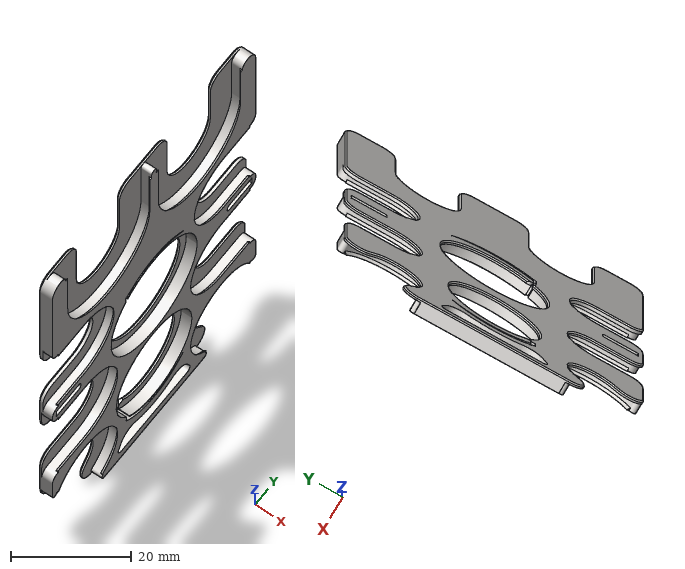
import cadquery as cq
import math

HEIGHT = 85.6
WIDTH = 57.2
THICKNESS = 2.8
HALF_WIDTH = WIDTH / 2
CORNER_R = 2.8
FACE_CHAMFER = 0.25

SLOT_R = 6.1
SLOT_GROOVE_R = 12.1
SLOT_Y = 12.75
SLOT_Z = HEIGHT - SLOT_GROOVE_R

UPPER_R = 5.1
UPPER_GROOVE_R = 8.9
UPPER_Y = HALF_WIDTH - UPPER_GROOVE_R
UPPER_Z = 52.6

LOWER_R = 5.05
LOWER_GROOVE_R = 9.4
LOWER_Y = HALF_WIDTH - LOWER_GROOVE_R
LOWER_Z = 30.1
CORNER_NOTCH_Z = LOWER_GROOVE_R

UPPER_FLANGE = 0.85
FLANGE = 0.6
LIP = 0.5
SIDE_MOUTH_R = 1.6
OUTER_RIB_R = 1.5
MIDDLE_RIB_R = 0.6
RIB_TIP_R = 0.7

ARM_TIP_Z = 14.1
FOOT_CORNER_Y = 14.5

BIG_HOLE_R = 10.3
BIG_HOLE_Z = 42.5
BIG_SEAT_R = SLOT_GROOVE_R
SMALL_HOLE_R = 8.7
SMALL_HOLE_Z = 18.8
SMALL_SEAT_R = 10.6
BIG_SLIT_R = 13.0
SMALL_SLIT_R = 11.55

BIG_TONGUE_ROOT = 50.6
BIG_TONGUE_RISE = 12.4
BIG_TONGUE_TIP = (-7.45, 9.8, 8.1)
BIG_TONGUE_TIP_R = 0.8
BIG_SLIT_END = (-8.0, 8.65)
BIG_SLIT_NECK = (-7.45, 7.0)

SMALL_TONGUE_ROOT = 45.5
SMALL_TONGUE_RISE = 10.95
SMALL_TONGUE_TIP = (-6.9, 8.3, 6.7)
SMALL_TONGUE_TIP_R = 0.25
SMALL_SLIT_END = (-7.8, 7.1)
SMALL_SLIT_NECK = (-6.9, 5.3)

WIRE_SLOT_HEIGHT = 1.6
WIRE_SLOT_INNER_Y = 20.6
WIRE_SLOT_OUTER_Y = 27.5
WIRE_SLOT_Z = 41.7
WIRE_SLOT_END_R = 0.6

WINDOW_Z = 2.0
WINDOW_HALF_WIDTH = 10.7
WINDOW_SIDE_SLOPE = 0.51
WINDOW_ARCH_R = 13.6
WINDOW_TOP_R = 3.1
WINDOW_BOTTOM_R = 0.9


def polar(center, radius, degrees):
    angle = math.radians(degrees)
    return (center[0] + radius * math.cos(angle), center[1] + radius * math.sin(angle))


def distance_and_angle(start, end):
    dy = end[0] - start[0]
    dz = end[1] - start[1]
    return math.hypot(dy, dz), math.degrees(math.atan2(dz, dy))


def add_arc(path, center, radius, start, end):
    """Continue the path with a line to the start of an arc, then the arc itself."""
    path = path.lineTo(*polar(center, radius, start))
    return path.threePointArc(polar(center, radius, (start + end) / 2), polar(center, radius, end))


def sketch_at(x, y=0, z=0):
    return cq.Workplane("YZ", origin=(x, y, z))


def disc(center, radius, start, end, taper=0):
    return sketch_at(start, *center).circle(radius).extrude(end - start, taper=taper)


def both_sides(solid):
    return solid.union(solid.mirror("XZ"))


def outline():
    r = CORNER_R
    side = HALF_WIDTH - r
    notch = (LOWER_Y, CORNER_NOTCH_Z)
    arm_tip = (side, ARM_TIP_Z)
    foot_corner = (FOOT_CORNER_Y, r)

    reach = LOWER_R + r
    tip_distance, tip_angle = distance_and_angle(notch, arm_tip)
    tip_tangent = tip_angle + math.degrees(math.acos(reach / tip_distance))
    foot_distance, foot_angle = distance_and_angle(notch, foot_corner)
    foot_tangent = 360 + foot_angle - math.degrees(math.acos(reach / foot_distance))

    path = sketch_at(0).moveTo(0, HEIGHT)
    path = add_arc(path, (SLOT_Y - SLOT_R - r, HEIGHT - r), r, 90, 0)
    path = add_arc(path, (SLOT_Y, SLOT_Z), SLOT_R, 180, 360)
    path = add_arc(path, (SLOT_Y + SLOT_R + r, HEIGHT - r), r, 180, 90)
    path = add_arc(path, (side, HEIGHT - r), r, 90, 0)
    for y, z, notch_r in ((UPPER_Y, UPPER_Z, UPPER_R), (LOWER_Y, LOWER_Z, LOWER_R)):
        path = add_arc(path, (side, z + notch_r + r), r, 0, -90)
        path = add_arc(path, (y, z), notch_r, 90, 270)
        path = add_arc(path, (side, z - notch_r - r), r, 90, 0)
    path = add_arc(path, arm_tip, r, 0, tip_tangent - 180)
    path = add_arc(path, notch, LOWER_R, tip_tangent, foot_tangent)
    path = add_arc(path, foot_corner, r, foot_tangent - 180, -90)
    return both_sides(path.lineTo(0, 0).close().extrude(THICKNESS))


def channel(center, radius, direction, length, start, taper=0):
    """Round-bottomed channel from start to the back face, open toward the given direction."""
    path = sketch_at(start, *center).transformed(rotate=(0, 0, direction)).moveTo(length, -radius)
    path = path.lineTo(0, -radius).threePointArc((-radius, 0), (0, radius)).lineTo(length, radius)
    return path.close().extrude(THICKNESS - start, taper=taper)


def groove(center, radius, direction, flange):
    """Channel behind a flange, narrowed by a sloping lip at the back face."""
    lip_start = THICKNESS - LIP
    lip = channel(center, radius, direction, radius - SIDE_MOUTH_R, lip_start)
    lip = lip.cut(channel(center, radius, direction, 2 * radius, lip_start, taper=45))
    return channel(center, radius, direction, 2 * radius, flange).cut(lip)


def rib_round(center, radius, start, end, flange):
    """Cutter that rounds a rib corner: the sector from start to end outside a circle."""
    reach = 4 * radius
    sector = sketch_at(flange).moveTo(*center)
    sector = add_arc(sector, center, reach, start, end).close().extrude(THICKNESS - flange)
    return sector.cut(disc(center, radius, flange, THICKNESS))


def slot_groove():
    cutter = groove((SLOT_Y, SLOT_Z), SLOT_GROOVE_R, 90, FLANGE)
    middle_rib = (SLOT_Y - SLOT_GROOVE_R - MIDDLE_RIB_R, HEIGHT - MIDDLE_RIB_R)
    cutter = cutter.union(rib_round(middle_rib, MIDDLE_RIB_R, 0, 90, FLANGE))

    corner = (HALF_WIDTH - CORNER_R, HEIGHT - CORNER_R)
    rib_y = SLOT_Y + SLOT_GROOVE_R + OUTER_RIB_R
    contact = math.degrees(math.acos((rib_y - corner[0]) / (CORNER_R - OUTER_RIB_R)))
    rib = polar(corner, CORNER_R - OUTER_RIB_R, contact)
    return cutter.union(rib_round(rib, OUTER_RIB_R, contact, 180, FLANGE))


def side_groove(center, radius, flange):
    cutter = groove(center, radius, 0, flange)
    mouth_y = HALF_WIDTH - SIDE_MOUTH_R
    offset = radius + SIDE_MOUTH_R
    cutter = cutter.union(rib_round((mouth_y, center[1] + offset), SIDE_MOUTH_R, 270, 360, flange))
    return cutter.union(rib_round((mouth_y, center[1] - offset), SIDE_MOUTH_R, 0, 90, flange))


def corner_groove():
    """Round groove behind the corner notch, with rounded rib tips on the arm and the foot."""
    center = (LOWER_Y, CORNER_NOTCH_Z)
    radius = LOWER_GROOVE_R
    lip_start = THICKNESS - LIP
    cutter = disc(center, radius, FLANGE, lip_start)
    cutter = cutter.union(disc(center, radius, lip_start, THICKNESS, taper=45))
    reach = radius + RIB_TIP_R

    arm_angle = math.degrees(math.acos((HALF_WIDTH - RIB_TIP_R - LOWER_Y) / reach))
    arm_tip = polar(center, reach, arm_angle)
    cutter = cutter.union(rib_round(arm_tip, RIB_TIP_R, arm_angle + 180, 360, FLANGE))

    foot_corner = (FOOT_CORNER_Y, CORNER_R)
    inset = CORNER_R - RIB_TIP_R
    span, to_groove = distance_and_angle(foot_corner, center)
    bend = math.degrees(math.acos((span**2 + inset**2 - reach**2) / (2 * span * inset)))
    contact = to_groove - bend
    foot_tip = polar(foot_corner, inset, contact)
    groove_angle = distance_and_angle(foot_tip, center)[1]
    return cutter.union(rib_round(foot_tip, RIB_TIP_R, contact, groove_angle, FLANGE))


def tongue_slit(slit_r, root, tongue_rise, tip, tip_r, slit_end, neck):
    """Tapering slit above a hole centred on the origin; it frees a tongue along the hole rim."""
    root_point = polar((0, 0), slit_r, root)
    tip_y, tip_top, tip_bottom = tip
    end_y, end_bottom = slit_end
    neck_y, neck_bottom = neck

    pocket = sketch_at(0).moveTo(*root_point)
    pocket = pocket.threePointArc((0, slit_r), (end_y, math.sqrt(slit_r**2 - end_y**2)))
    pocket = pocket.lineTo(end_y, end_bottom).lineTo(neck_y, end_bottom).lineTo(neck_y, neck_bottom)
    pocket = pocket.lineTo(0, 0).close().extrude(THICKNESS)

    tongue = sketch_at(0).moveTo(*root_point).threePointArc((0, tongue_rise), (tip_y, tip_top))
    tongue = tongue.lineTo(tip_y, tip_bottom).lineTo(0, tip_bottom).lineTo(0, 0).close()
    tongue = tongue.extrude(THICKNESS).edges("|X and <Y").fillet(tip_r)
    return pocket.cut(tongue)


def wire_slot():
    length = WIRE_SLOT_OUTER_Y - WIRE_SLOT_INNER_Y
    slot = sketch_at(0, WIRE_SLOT_INNER_Y + length / 2, WIRE_SLOT_Z).rect(length, WIRE_SLOT_HEIGHT)
    return slot.extrude(THICKNESS).edges("|X and <Y").fillet(WIRE_SLOT_END_R)


def window():
    top_half_width = WINDOW_HALF_WIDTH - WINDOW_SIDE_SLOPE * (SMALL_HOLE_Z - WINDOW_Z)
    opening = sketch_at(0).polyline([
        (-WINDOW_HALF_WIDTH, WINDOW_Z),
        (WINDOW_HALF_WIDTH, WINDOW_Z),
        (top_half_width, SMALL_HOLE_Z),
        (-top_half_width, SMALL_HOLE_Z),
    ]).close().extrude(THICKNESS)
    opening = opening.cut(disc((0, SMALL_HOLE_Z), WINDOW_ARCH_R, 0, THICKNESS))
    opening = opening.faces("<Z").edges("|X").fillet(WINDOW_BOTTOM_R)
    upper_half = cq.selectors.BoxSelector(
        (0, -HALF_WIDTH, SMALL_HOLE_Z - WINDOW_ARCH_R),
        (THICKNESS, HALF_WIDTH, SMALL_HOLE_Z),
    )
    return opening.edges(upper_half).edges("|X").fillet(WINDOW_TOP_R)


big_hole = (0, BIG_HOLE_Z)
small_hole = (0, SMALL_HOLE_Z)
result = outline()
result = result.cut(disc(big_hole, BIG_HOLE_R, 0, THICKNESS))
result = result.cut(disc(small_hole, SMALL_HOLE_R, 0, THICKNESS))
result = result.faces("<X").edges().chamfer(FACE_CHAMFER)

grooves = [
    slot_groove(),
    side_groove((UPPER_Y, UPPER_Z), UPPER_GROOVE_R, UPPER_FLANGE),
    side_groove((LOWER_Y, LOWER_Z), LOWER_GROOVE_R, FLANGE),
    corner_groove(),
]
for cutter in grooves:
    result = result.cut(cutter).cut(cutter.mirror("XZ"))
result = result.cut(disc(big_hole, BIG_SEAT_R, FLANGE, THICKNESS))
result = result.cut(disc(small_hole, SMALL_SEAT_R, FLANGE, THICKNESS))

big_slit = tongue_slit(
    BIG_SLIT_R, BIG_TONGUE_ROOT, BIG_TONGUE_RISE, BIG_TONGUE_TIP, BIG_TONGUE_TIP_R,
    BIG_SLIT_END, BIG_SLIT_NECK,
)
small_slit = tongue_slit(
    SMALL_SLIT_R, SMALL_TONGUE_ROOT, SMALL_TONGUE_RISE, SMALL_TONGUE_TIP, SMALL_TONGUE_TIP_R,
    SMALL_SLIT_END, SMALL_SLIT_NECK,
)
result = result.cut(big_slit.translate((0, 0, BIG_HOLE_Z)))
result = result.cut(small_slit.mirror("XY").translate((0, 0, SMALL_HOLE_Z)))

result = result.cut(both_sides(wire_slot()))
result = result.cut(window())